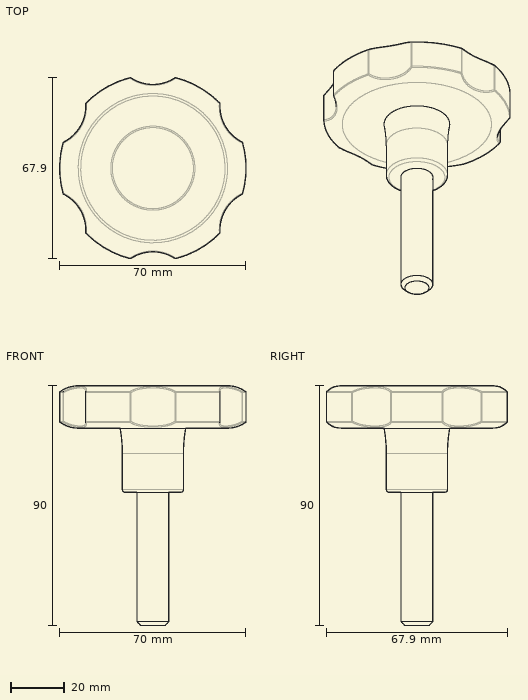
import cadquery as cq
import math

stud_diameter = 12.0
stud_length = 50.0
stud_chamfer = 1.5

hub_diameter = 23.0
hub_height = 24.0
hub_straight_height = 14.5
hub_edge_fillet = 1.0
flare_radius = 55.0

head_diameter = 70.0
head_height = 16.0
crown_start_radius = 28.0
crown_arc_radius = 11.5
head_edge_fillet = 0.5

scallop_count = 6
scallop_radius = 15.0
scallop_center_distance = 46.4
first_scallop_angle = 30.0

bowl_floor_radius = 15.5
bowl_rim_radius = 27.5
bowl_depth = 4.9
bowl_wall_radius = 60.0
bowl_floor_fillet = 2.0
bowl_rim_fillet = 2.0

head_bottom = hub_height
head_top = head_bottom + head_height


def arc_drop(radius, offset):
    """Distance an arc falls away from its tangent at a sideways offset."""
    return radius - math.sqrt(radius**2 - offset**2)


def revolve_about_z(profile):
    """Full turn of an XZ profile about the Z axis."""
    return profile.revolve(360, (0, 0), (0, 1))


def make_head():
    """Disc with flat centre faces and rounded shoulders, revolved about Z."""
    rim = head_diameter / 2
    shoulder = rim - crown_start_radius
    drop = arc_drop(crown_arc_radius, shoulder)
    mid_x = crown_start_radius + shoulder / 2
    mid_drop = arc_drop(crown_arc_radius, shoulder / 2)
    profile = (
        cq.Workplane("XZ")
        .moveTo(0, head_bottom)
        .lineTo(crown_start_radius, head_bottom)
        .threePointArc((mid_x, head_bottom + mid_drop), (rim, head_bottom + drop))
        .lineTo(rim, head_top - drop)
        .threePointArc((mid_x, head_top - mid_drop), (crown_start_radius, head_top))
        .lineTo(0, head_top)
        .close()
    )
    return revolve_about_z(profile)


def cut_scallops(head):
    """Cut the finger scallops and round all edges of the grip."""
    cutters = (
        cq.Workplane("XY", origin=(0, 0, head_bottom))
        .polarArray(scallop_center_distance, first_scallop_angle, 360, scallop_count)
        .circle(scallop_radius)
        .extrude(head_height)
    )
    scalloped = head.cut(cutters)
    grip_edges = [
        edge for edge in scalloped.edges().vals()
        if math.hypot(edge.Center().x, edge.Center().y) > crown_start_radius
    ]
    return scalloped.newObject(grip_edges).fillet(head_edge_fillet)


def cut_bowl(head):
    """Sink a bowl with a flat floor and a concave wall into the top."""
    floor_z = head_top - bowl_depth
    run = bowl_rim_radius - bowl_floor_radius
    chord = math.hypot(run, bowl_depth)
    sag = arc_drop(bowl_wall_radius, chord / 2)
    wall_mid = (
        (bowl_floor_radius + bowl_rim_radius) / 2 + sag * bowl_depth / chord,
        head_top - bowl_depth / 2 - sag * run / chord,
    )
    profile = (
        cq.Workplane("XZ")
        .moveTo(0, floor_z)
        .lineTo(bowl_floor_radius, floor_z)
        .threePointArc(wall_mid, (bowl_rim_radius, head_top))
        .lineTo(0, head_top)
        .close()
    )
    bowl = revolve_about_z(profile).faces("<Z").edges().fillet(bowl_floor_fillet)
    opened = head.cut(bowl)
    innermost_edge = cq.selectors.RadiusNthSelector(0)
    return opened.faces(">Z").edges(innermost_edge).fillet(bowl_rim_fillet)


def make_hub():
    """Hub with a rounded lower edge and a flare tangent to its cylinder."""
    radius = hub_diameter / 2
    flare_height = hub_height - hub_straight_height
    flare_mid = (
        radius + arc_drop(flare_radius, flare_height / 2),
        hub_straight_height + flare_height / 2,
    )
    flare_end = (radius + arc_drop(flare_radius, flare_height), hub_height)
    profile = (
        cq.Workplane("XZ")
        .lineTo(radius, 0)
        .lineTo(radius, hub_straight_height)
        .threePointArc(flare_mid, flare_end)
        .lineTo(0, hub_height)
        .close()
    )
    return revolve_about_z(profile).faces("<Z").edges().fillet(hub_edge_fillet)


def make_stud():
    """Round stud with a chamfered tip, hanging below the hub."""
    stud = cq.Workplane("XY").circle(stud_diameter / 2).extrude(-stud_length)
    return stud.faces("<Z").edges().chamfer(stud_chamfer)


head = cut_bowl(cut_scallops(make_head()))
result = head.union(make_hub()).union(make_stud())